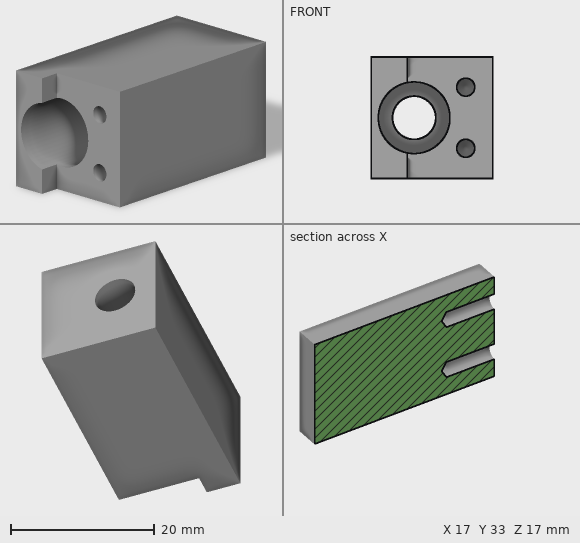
import cadquery as cq
import math

length = 33.0
side = 17.0

lip_width = 5.0
lip_length = 3.0

bore_x = 6.0
bore_diameter = 6.0
counterbore_diameter = 10.0
counterbore_depth = 25.0

drill_x = 13.2
drill_diameter = 2.5
drill_spacing = 8.5
drill_depth = 8.0
drill_point_angle = 118.0

mid_z = side / 2
along_y = cq.Vector(0, 1, 0)


def cylinder_along_y(diameter, depth, x, y, z):
    return cq.Solid.makeCylinder(diameter / 2, depth, cq.Vector(x, y, z), along_y)


def drilled_hole(x, y, z):
    """Blind hole with a conical drill-point bottom."""
    radius = drill_diameter / 2
    point_depth = radius / math.tan(math.radians(drill_point_angle / 2))
    point_start = cq.Vector(x, y + drill_depth, z)
    point = cq.Solid.makeCone(radius, 0, point_depth, point_start, along_y)
    return cylinder_along_y(drill_diameter, drill_depth, x, y, z).fuse(point)


body = (
    cq.Workplane("XY")
    .moveTo(0, 0)
    .lineTo(lip_width, 0)
    .lineTo(lip_width, lip_length)
    .lineTo(side, lip_length)
    .lineTo(side, length)
    .lineTo(0, length)
    .close()
    .extrude(side)
)

body = body.cut(cylinder_along_y(bore_diameter, length, bore_x, 0, mid_z))
body = body.cut(cylinder_along_y(counterbore_diameter, counterbore_depth, bore_x, 0, mid_z))

for z_direction in (-1, 1):
    hole_z = mid_z + z_direction * drill_spacing / 2
    body = body.cut(drilled_hole(drill_x, lip_length, hole_z))

result = body